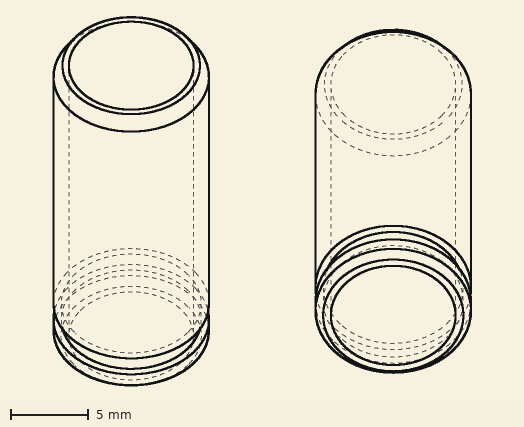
import cadquery as cq
import math

length = 24.5
outer_diameter = 10.0
bore_diameter = 8.0

groove_diameter = 9.0
groove_bottom = 1.5
groove_width = 1.45

top_chamfer_height = 1.0
top_chamfer_angle = 30.0
top_chamfer_inset = top_chamfer_height * math.tan(math.radians(top_chamfer_angle))
bottom_chamfer = 0.5

outer_radius = outer_diameter / 2
bore_radius = bore_diameter / 2
groove_radius = groove_diameter / 2
groove_top = groove_bottom + groove_width

wall_section = [
    (bore_radius, 0),
    (outer_radius - bottom_chamfer, 0),
    (outer_radius, bottom_chamfer),
    (outer_radius, groove_bottom),
    (groove_radius, groove_bottom),
    (groove_radius, groove_top),
    (outer_radius, groove_top),
    (outer_radius, length - top_chamfer_height),
    (outer_radius - top_chamfer_inset, length),
    (bore_radius, length),
]

result = cq.Workplane("XZ").polyline(wall_section).close().revolve(360, (0, 0), (0, 1))